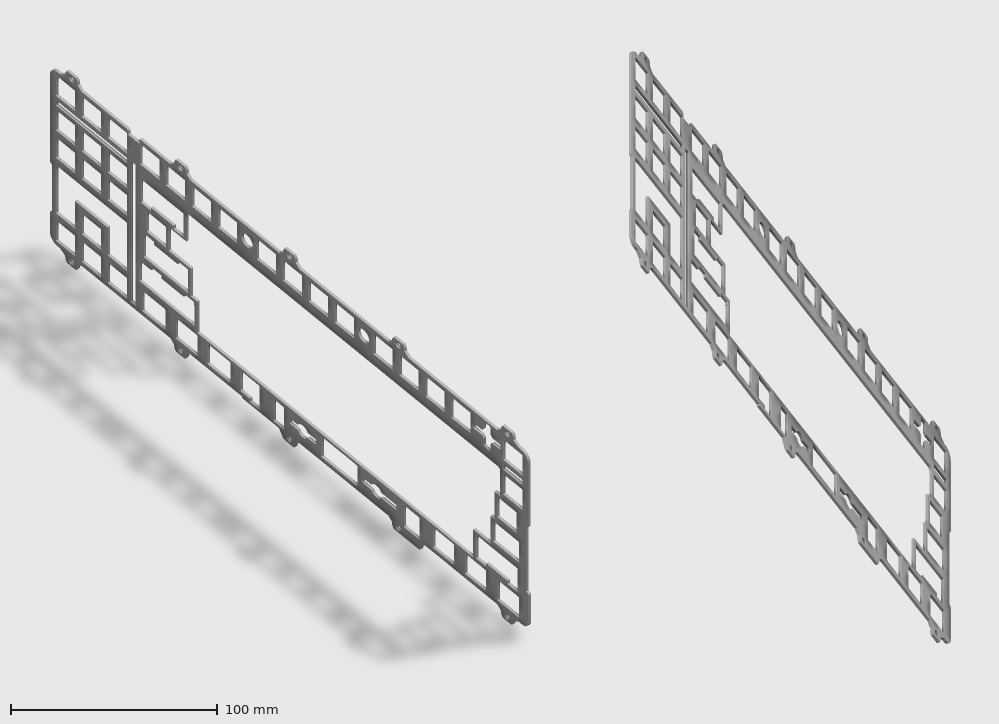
import cadquery as cq
import math


plate_width = 351.5
plate_height = 132.2
thickness = 1.5
frame_height = 120.0
plate_end = plate_width / 2
ear_tip = plate_height / 2
frame_top = frame_height / 2
corner_radius = 5.5

grid_x = -0.18
key_size = 14.0
key_span = 328.5
last_column = 17.25
last_row = 5.25
left_columns = 3
group_starts = (3.25, 7.75, 12.25)
group_size = 4
left_row_3_column = 3.5
pitch = key_span / last_column
half_key = key_size / 2

rim = 2.0
slot_width = 3.5
lobe_depth = 2.0
lobe_width = 7.5
opening_fillet = 0.7

recess_depth = 1.5
left_recess_bottom, left_recess_top = -40.5, -5.5
right_recess_top = 10.5

bulge_top = -34.8
bulge_upper_radius = 2.0
bulge_lower_radius = 5.0

pad_left, pad_right, pad_tip = -34.8, -7.7, -4.2
pad_depth = 1.0

ear_span = 320.0
ear_count = 5
ear_radius = 4.5
ear_hole = 3.5
ear_hole_z = 63.0
ear_foot = 7.5
ear_outer_foot = 8.5
ear_shoulder = 0.7
long_ear_index = 3
long_ear_reach = 12.3

notch_left = -118.5
notch_bottom = 56.5
notch_gap = 0.5
notch_chamfer = 1.0

row_2_left, row_2_right = -109.0, -77.7
row_4_left, row_4_right = -107.0, -74.5
row_5_left, row_5_right = -110.0, -69.5
row_5_lobe_left, row_5_lobe_right = -101.3, -70.0
right_row_4_left, right_row_4_right = 149.8, 168.8
right_row_5_left, right_row_5_right = 137.0, 167.7
bottom_row_ends = [
    (-108.0, -91.0),
    (-83.5, -67.5),
    (-60.0, -43.3),
    (23.5, 50.0),
    (105.5, 121.0),
    (129.0, 144.5),
    (153.0, 168.8),
]
notched_key_left, notched_key_right = -36.0, -21.8
notched_key_lobe = 7.0
tall_opening_ends = [(-11.5, -4.0), (84.0, 95.5)]
tall_opening_drop = 1.0

right_row_3_x = 159.5
divider_x = -114.5
hole_diameter = 8.0
hole_columns = (7, 11.5)
keyhole_slots = [(10.0, 0.5, 19.7), (64.0, 53.5, 78.8)]
slot_fillet = 1.0
cross_x = 145.2
cross_width = 20.0
cross_height = 17.0
cross_bar = 5.3

central_top = 35.5
central_bottom = -41.0
central_fillet = 2.0
left_ledge = 1.5


def column_x(column):
    """Centre of a key column."""
    return grid_x - key_span / 2 + column * pitch


def row_z(row):
    """Centre of a key row."""
    return (last_row / 2 - row) * pitch


top_row = row_z(0)
row_2 = row_z(1.25)
row_3 = row_z(2.25)
row_4 = row_z(3.25)
row_5 = row_z(4.25)
bottom_row = row_z(last_row)


def outline(points):
    """Plate-thick body with straight edges through XZ points."""
    return cq.Workplane("XZ").polyline(points).close().extrude(thickness / 2, both=True)


def box(left, right, bottom, top):
    return outline([(left, bottom), (right, bottom), (right, top), (left, top)])


def disc(x, z, diameter):
    return cq.Workplane("XZ").center(x, z).circle(diameter / 2).extrude(thickness / 2, both=True)


def key(x, z):
    return box(x - half_key, x + half_key, z - half_key, z + half_key)


def wide_key(left, right, row):
    """Opening as tall as a key."""
    return box(left, right, row - half_key, row + half_key).edges("|Y").fillet(opening_fillet)


def lobed_key(left, right, row, lobe_left, lobe_right, side):
    """Wide key opening with two stabiliser lobes, above it (side 1) or below it (side -1)."""
    body = box(left, right, row - half_key, row + half_key)
    edge = row + side * (half_key + lobe_depth)
    bottom, top = min(row, edge), max(row, edge)
    body = body.union(box(lobe_left, lobe_left + lobe_width, bottom, top))
    return body.union(box(lobe_right - lobe_width, lobe_right, bottom, top))


def side_recess(side_x, inward, bottom, top):
    """Shallow recess in a short side; inward is 1 on the left side and -1 on the right."""
    floor_x = side_x + inward * recess_depth
    return outline(
        [(side_x, bottom), (floor_x, bottom + recess_depth), (floor_x, top - recess_depth), (side_x, top)]
    )


def ear(x, left_foot, right_foot, reach=0):
    """Flat-topped ear on the upper edge; reach stretches it to the right of its screw hole."""
    right_x = x + reach
    flat_half = math.sqrt(ear_radius**2 - (ear_tip - ear_hole_z) ** 2)
    arc_middle = math.atan2(ear_tip - ear_hole_z, flat_half) / 2
    arc_dx = ear_radius * math.cos(arc_middle)
    arc_z = ear_hole_z + ear_radius * math.sin(arc_middle)
    root_z = frame_top - rim
    return (
        cq.Workplane("XZ")
        .moveTo(x - left_foot, root_z)
        .lineTo(x - left_foot, frame_top)
        .lineTo(x - ear_radius, ear_hole_z - ear_shoulder)
        .lineTo(x - ear_radius, ear_hole_z)
        .threePointArc((x - arc_dx, arc_z), (x - flat_half, ear_tip))
        .lineTo(right_x + flat_half, ear_tip)
        .threePointArc((right_x + arc_dx, arc_z), (right_x + ear_radius, ear_hole_z))
        .lineTo(right_x + ear_radius, ear_hole_z - ear_shoulder)
        .lineTo(right_x + right_foot, frame_top)
        .lineTo(right_x + right_foot, root_z)
        .close()
        .extrude(thickness / 2, both=True)
    )


def frame_blank():
    """Outer frame with rounded corners, recessed sides, bulge, pad and notch."""
    left_side = -plate_end
    right_side = plate_end + 2 * grid_x
    bulge_left = plate_end - 2 * bulge_lower_radius
    blank = box(left_side, right_side, -frame_top, frame_top).edges("|Y").fillet(corner_radius)
    blank = blank.cut(side_recess(left_side, 1, left_recess_bottom, left_recess_top))
    blank = blank.cut(side_recess(right_side, -1, bulge_top - recess_depth, right_recess_top))

    bulge = box(bulge_left, plate_end, -frame_top, bulge_top)
    bulge = bulge.edges("|Y and >X and >Z").fillet(bulge_upper_radius)
    bulge = bulge.edges("|Y and >X and <Z").fillet(bulge_lower_radius)
    blank = blank.cut(box(bulge_left, plate_end, -frame_top, bulge_top)).union(bulge)

    pad_z = -frame_top - pad_depth
    pad = outline(
        [(pad_left, -frame_top), (pad_left, pad_z), (pad_right, pad_z), (pad_tip, -ear_tip), (0, -frame_top)]
    )
    notch_right = column_x(group_starts[0]) - half_key - notch_gap
    notch = outline(
        [
            (notch_left - notch_chamfer, frame_top),
            (notch_left, frame_top - notch_chamfer),
            (notch_left, notch_bottom),
            (notch_right, notch_bottom),
            (notch_right, frame_top),
        ]
    )
    return blank.union(pad).cut(notch)


def add_ears(plate):
    """Ears with screw holes on both long sides; one of the lower ears is stretched."""
    for index in range(ear_count):
        x = ear_span * (index / (ear_count - 1) - 0.5)
        left_foot = ear_outer_foot if index == 0 else ear_foot
        right_foot = ear_outer_foot if index == ear_count - 1 else ear_foot
        reach = long_ear_reach if index == long_ear_index else 0
        plate = plate.union(ear(x, left_foot, right_foot))
        plate = plate.union(ear(x, left_foot, right_foot, reach).mirror("XY"))
        for z in (-ear_hole_z, ear_hole_z):
            plate = plate.cut(disc(x, z, ear_hole))
    return plate


def single_keys():
    """Square openings for one key each."""
    full_rows = (top_row, row_2, row_3, bottom_row)
    keys = [key(column_x(column), z) for column in range(left_columns) for z in full_rows]
    for first_column in group_starts:
        keys += [key(column_x(first_column + step), top_row) for step in range(group_size)]
    keys += [key(column_x(last_column), z) for z in (top_row, row_2)]
    keys.append(key(column_x(1), row_5))
    keys.append(key(column_x(left_row_3_column), row_3))
    keys.append(key(right_row_3_x, row_3))
    return keys


def wide_openings():
    """Wide keys, lobed keys and the odd openings of the bottom row."""
    openings = [wide_key(left, right, bottom_row) for left, right in bottom_row_ends]
    openings.append(wide_key(right_row_4_left, right_row_4_right, row_4))
    openings.append(lobed_key(row_2_left, row_2_right, row_2, row_2_left, row_2_right, -1))
    openings.append(lobed_key(row_4_left, row_4_right, row_4, row_4_left, row_4_right, 1))
    openings.append(lobed_key(row_5_left, row_5_right, row_5, row_5_lobe_left, row_5_lobe_right, 1))
    openings.append(
        lobed_key(right_row_5_left, right_row_5_right, row_5, right_row_5_left, right_row_5_right, -1)
    )
    lobe_bottom = bottom_row - half_key - lobe_depth
    openings.append(wide_key(notched_key_left, notched_key_right, bottom_row))
    openings.append(box(notched_key_right - notched_key_lobe, notched_key_right, lobe_bottom, bottom_row))
    for left, right in tall_opening_ends:
        tall = box(left, right, lobe_bottom, bottom_row + half_key - tall_opening_drop)
        openings.append(tall.edges("|Y").fillet(opening_fillet))
    return openings


def left_block_openings():
    """Three-key-wide opening with two legs reaching down beside the middle key of row 5."""
    left = column_x(0) - half_key
    right = column_x(left_columns - 1) + half_key
    openings = [box(left, right, row_4 - half_key, row_4 + half_key)]
    for column in (0, left_columns - 1):
        x = column_x(column)
        openings.append(box(x - half_key, x + half_key, row_5 - half_key, row_4))
    return openings


def slots():
    """Narrow slots below the top row and the upright slot beside the left block."""
    middle = (top_row + row_2) / 2
    bottom = middle - slot_width / 2
    top = middle + slot_width / 2
    last_x = column_x(last_column)
    return [
        box(column_x(0) - half_key, column_x(left_columns - 1) + half_key, bottom, top),
        box(last_x - half_key, last_x + half_key, bottom, top),
        box(divider_x - slot_width / 2, divider_x + slot_width / 2, bottom_row - half_key, top),
    ]


def rounded_slot(left, right, bottom, top):
    return box(left, right, bottom, top).edges("|Y").fillet(slot_fillet)


def round_openings():
    """Plain round holes, round holes with a slot, and the cross with a round centre."""
    openings = [disc(column_x(column), top_row, hole_diameter) for column in hole_columns]
    half_slot = slot_width / 2
    for x, left, right in keyhole_slots:
        openings.append(disc(x, bottom_row, hole_diameter))
        openings.append(rounded_slot(left, right, bottom_row - half_slot, bottom_row + half_slot))

    half_width = cross_width / 2
    half_height = cross_height / 2
    half_bar = cross_bar / 2
    openings.append(disc(cross_x, top_row, hole_diameter))
    openings.append(
        rounded_slot(cross_x - half_width, cross_x + half_width, top_row - half_slot, top_row + half_slot)
    )
    openings.append(
        rounded_slot(cross_x - half_bar, cross_x + half_bar, top_row - half_height, top_row + half_height)
    )
    return openings


def central_opening():
    """Large stepped opening that keeps a rim around the keys on both sides."""
    left_2 = row_2_right + rim
    left_3 = column_x(left_row_3_column) + half_key + rim
    left_4 = row_4_right + rim
    left_5 = row_5_right + rim
    left_step_3 = row_3 + half_key + left_ledge
    left_step_4 = row_4 + half_key + lobe_depth + rim
    left_step_5 = row_5 + half_key + lobe_depth + rim

    right_2 = column_x(last_column) - half_key - rim
    right_3 = right_row_3_x - half_key - rim
    right_4 = right_row_4_left - rim
    right_5 = right_row_5_left - rim
    right_step_3 = row_3 + half_key + rim
    right_step_4 = row_4 + half_key + rim
    right_step_5 = row_5 + half_key + rim

    opening = outline(
        [
            (left_2, central_top),
            (left_2, left_step_3),
            (left_3, left_step_3),
            (left_3, left_step_4),
            (left_4, left_step_4),
            (left_4, left_step_5),
            (left_5, left_step_5),
            (left_5, central_bottom),
            (right_5, central_bottom),
            (right_5, right_step_5),
            (right_4, right_step_5),
            (right_4, right_step_4),
            (right_3, right_step_4),
            (right_3, right_step_3),
            (right_2, right_step_3),
            (right_2, central_top),
        ]
    )
    return opening.edges("|Y and >Z").fillet(central_fillet)


plate_solid = add_ears(frame_blank()).val()
all_openings = single_keys() + wide_openings() + left_block_openings() + slots() + round_openings()
all_openings.append(central_opening())
plate_solid = plate_solid.cut(*[opening.val() for opening in all_openings])
result = cq.Workplane("XZ").newObject(plate_solid.Solids())